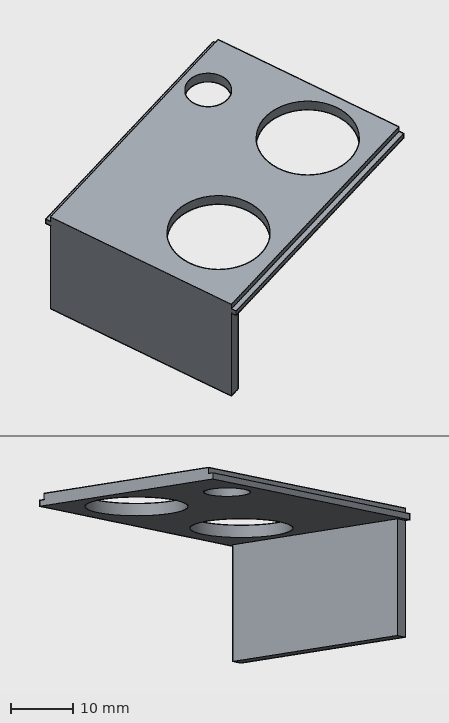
import cadquery as cq

length = 48.0
overall_width = 36.8
height = 21.0

body_width = 35.0
thickness = 2.0
lip_thickness = thickness / 2

large_diameter = 16.5
small_diameter = 7.5
large_hole_x = 6.75
small_hole_x = -12.5
rear_hole_y = 13.75
large_hole_spacing = 25.55
front_hole_y = rear_hole_y - large_hole_spacing

plate_bottom = height - thickness


def block(width, depth, block_height, front_y, bottom_z):
    """Box centred on X, rising from bottom_z and running back from front_y."""
    return (
        cq.Workplane("XY")
        .box(width, depth, block_height, centered=(True, False, False))
        .translate((0, front_y, bottom_z))
    )


def through_holes(diameter, centers):
    """Cutters that pass through the plate only."""
    return (
        cq.Workplane("XY", origin=(0, 0, plate_bottom))
        .pushPoints(centers)
        .circle(diameter / 2)
        .extrude(thickness)
    )


front_y = -length / 2
plate = block(body_width, length, thickness, front_y, plate_bottom)
front_wall = block(body_width, thickness, height, front_y, 0)

side_lips = block(overall_width, length, lip_thickness, front_y, plate_bottom)

large_holes = through_holes(
    large_diameter,
    [(large_hole_x, rear_hole_y), (large_hole_x, front_hole_y)],
)
small_hole = through_holes(small_diameter, [(small_hole_x, rear_hole_y)])

result = plate.union(front_wall).union(side_lips).cut(large_holes).cut(small_hole)